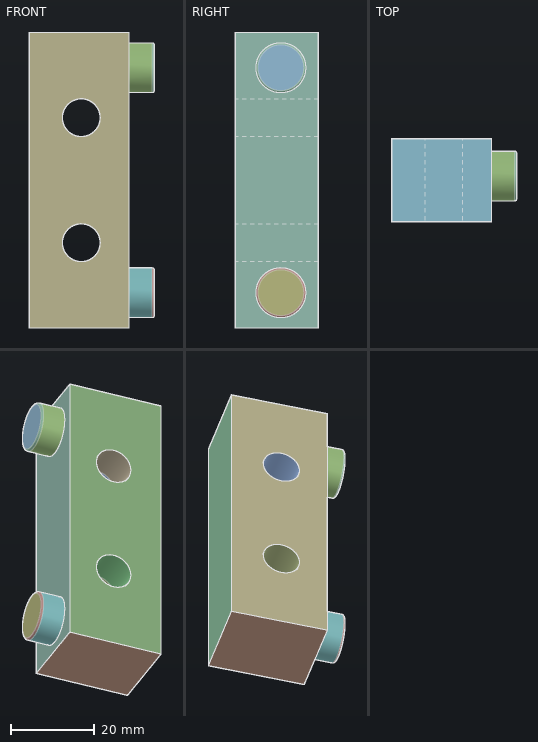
import cadquery as cq

height = 71.0
width = 24.0
depth = 20.0

hole_diameter = 9.0
hole_spacing = 30.0
hole_from_left = 12.5

pin_diameter = 12.0
pin_length = 6.0
pin_spacing = 54.0
pin_offset_y = 1.0
pin_edge_radius = 0.5


def make_block():
    """Block with its left face at X = 0, centred in Y and Z."""
    return cq.Workplane("XY").box(width, depth, height, centered=(False, True, True))


def make_hole(z):
    """Cutter for one cross hole at height z."""
    return (
        cq.Workplane("XZ")
        .center(hole_from_left, z)
        .circle(hole_diameter / 2)
        .extrude(depth, both=True)
    )


def make_pin(z):
    """One pin at height z, with a rounded outer edge."""
    return (
        cq.Workplane("YZ", origin=(width, pin_offset_y, z))
        .circle(pin_diameter / 2)
        .extrude(pin_length)
        .faces(">X")
        .edges()
        .fillet(pin_edge_radius)
    )


result = make_block()

for side in (-1, 1):
    result = result.cut(make_hole(side * hole_spacing / 2))
    result = result.union(make_pin(side * pin_spacing / 2))